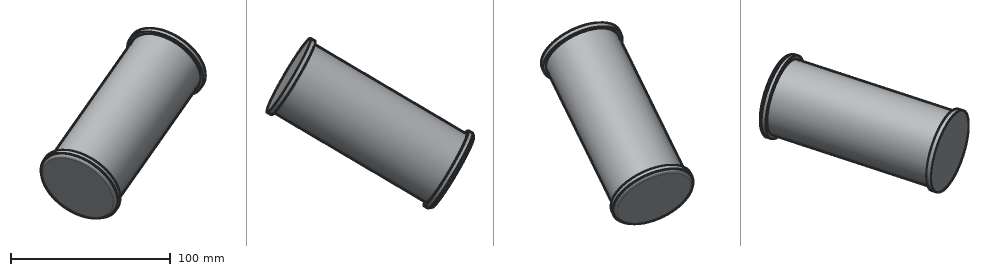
import cadquery as cq
import math

total_length = 120.0
body_diameter = 50.0
front_rim_diameter = 55.0
front_rim_thickness = 3.0
back_rim_diameter = 54.0
back_rim_thickness = 3.4

cap_radius = back_rim_diameter / 2
cap_face_radius = body_diameter / 2
cap_rounding = cap_radius - cap_face_radius


def disc(diameter, start, length):
    """Solid cylinder along +Y whose front face is at Y = start."""
    plane = cq.Workplane("XZ", origin=(0, start, 0))
    return plane.circle(diameter / 2).extrude(-length)


def rounded_cap():
    """Front cap revolved about Y, with its flat face at Y = 0."""
    arc_offset = cap_rounding * math.sqrt(0.5)
    arc_middle = (cap_face_radius + arc_offset, cap_rounding - arc_offset)
    profile = (
        cq.Workplane("XY")
        .lineTo(cap_face_radius, 0)
        .threePointArc(arc_middle, (cap_radius, cap_rounding))
        .lineTo(0, cap_rounding)
        .close()
    )
    return profile.revolve(360, (0, 0, 0), (0, 1, 0))


front_rim = disc(front_rim_diameter, cap_rounding, front_rim_thickness)

body_start = cap_rounding + front_rim_thickness
body = disc(body_diameter, body_start, total_length - body_start)

back_rim = disc(back_rim_diameter, total_length - back_rim_thickness, back_rim_thickness)

result = rounded_cap().union(front_rim).union(body).union(back_rim)